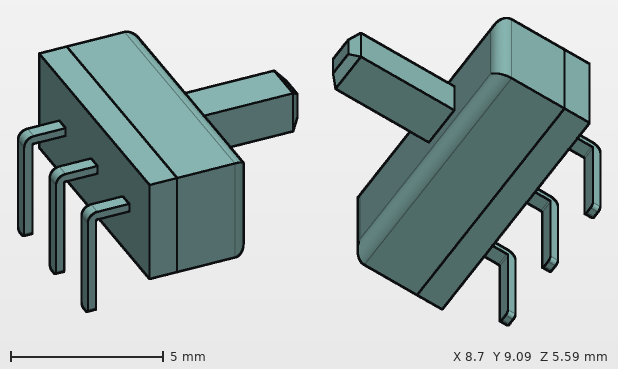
import cadquery as cq

HOUSING_WIDTH = 8.7
HOUSING_HEIGHT = 3.7
BASE_DEPTH = 1.0
COVER_DEPTH = 2.59
COVER_FILLET = 0.5

LEVER_SIDE = 1.5
LEVER_LENGTH = 4.0
LEVER_CHAMFER = 0.3
LEVER_X = -0.96

PIN_COUNT = 3
PIN_PITCH = 2.5
PIN_WIDTH = 0.5
PIN_THICKNESS = 0.3
PIN_REACH = 1.5
PIN_TOP_DROP = 1.69
PIN_BELOW_HOUSING = 1.89
BEND_INNER_RADIUS = 0.05
BEND_OUTER_RADIUS = BEND_INNER_RADIUS + PIN_THICKNESS
PIN_TIP_FILLET = 0.15

COVER_FRONT_Y = BASE_DEPTH + COVER_DEPTH
PIN_TOP_Z = HOUSING_HEIGHT / 2 - PIN_TOP_DROP
PIN_BOTTOM_Z = -HOUSING_HEIGHT / 2 - PIN_BELOW_HOUSING


def block_along_y(width, depth, height, x, y_start):
    """Box centred on x and Z = 0 that runs from y_start towards +Y."""
    box = cq.Workplane("XY").box(width, depth, height, centered=(True, False, True))
    return box.translate((x, y_start, 0))


def make_base():
    return block_along_y(HOUSING_WIDTH, BASE_DEPTH, HOUSING_HEIGHT, 0, 0)


def make_cover():
    cover = block_along_y(HOUSING_WIDTH, COVER_DEPTH, HOUSING_HEIGHT, 0, BASE_DEPTH)
    return cover.faces(">Y").edges().fillet(COVER_FILLET)


def make_lever():
    lever = block_along_y(LEVER_SIDE, LEVER_LENGTH, LEVER_SIDE, LEVER_X, COVER_FRONT_Y)
    return lever.faces(">Y").edges().chamfer(LEVER_CHAMFER)


def make_pin(x):
    """L-shaped pin that leaves the base along -Y and bends down to a rounded tip."""
    profile = (
        cq.Workplane("YZ")
        .moveTo(0, PIN_TOP_Z)
        .lineTo(-PIN_REACH, PIN_TOP_Z)
        .lineTo(-PIN_REACH, PIN_BOTTOM_Z)
        .lineTo(-PIN_REACH + PIN_THICKNESS, PIN_BOTTOM_Z)
        .lineTo(-PIN_REACH + PIN_THICKNESS, PIN_TOP_Z - PIN_THICKNESS)
        .lineTo(0, PIN_TOP_Z - PIN_THICKNESS)
        .close()
    )
    pin = profile.extrude(PIN_WIDTH / 2, both=True)
    outer_corner = cq.selectors.NearestToPointSelector((0, -PIN_REACH, PIN_TOP_Z))
    pin = pin.edges("|X").edges(outer_corner).fillet(BEND_OUTER_RADIUS)
    inner_corner = cq.selectors.NearestToPointSelector(
        (0, -PIN_REACH + PIN_THICKNESS, PIN_TOP_Z - PIN_THICKNESS)
    )
    pin = pin.edges("|X").edges(inner_corner).fillet(BEND_INNER_RADIUS)
    pin = pin.faces("<Z").edges("|Y").fillet(PIN_TIP_FILLET)
    return pin.translate((x, 0, 0))


base = make_base()
cover = make_cover()
lever = make_lever()

pins = []
for index in range(PIN_COUNT):
    pin_x = (index - (PIN_COUNT - 1) / 2) * PIN_PITCH
    pins.append(make_pin(pin_x).val())

result = cq.Compound.makeCompound([base.val(), cover.val(), lever.val(), *pins])